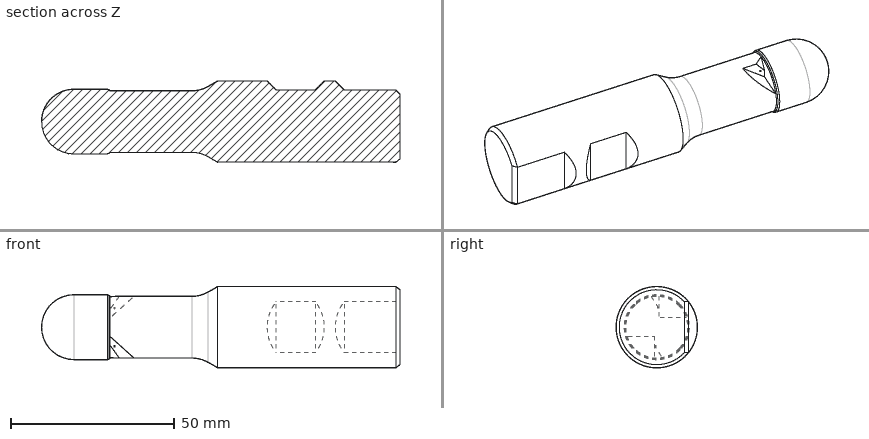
import cadquery as cq
import math

total_length = 110.0

head_radius = 10.0
head_chamfer_start = 20.2
head_chamfer_end = 20.75
head_chamfer_end_radius = 9.8
head_end = 21.1

neck_radius = 9.5
flare_radius = 10.0
flare_angle = math.radians(30)

shank_radius = 12.5
shank_length = 56.0
shank_start = total_length - shank_length
end_chamfer_length = 1.3
end_chamfer_depth = 1.0

flat_height = 9.75
flat_floor_length = 12.0
front_flat_center = total_length - 32.0
rear_flat_start = 92.9
rear_flat_bevel = 1.3

pocket_wall_offset = 0.75
pocket_exit = 28.4
pocket_floor_angle = math.radians(42)
relief_edge_depth = 5.6
relief_edge_exit = 23.9
relief_overrun = 1.75
pin_hole_diameter = 0.4
pin_hole_depth = 0.5
pin_hole_x = 22.4
pin_hole_height = 5.85


def make_body():
    """Revolved head, neck, flare and shank."""
    arc_length = flare_radius * math.sin(flare_angle)
    arc_rise = flare_radius * (1 - math.cos(flare_angle))
    cone_rise = shank_radius - neck_radius - arc_rise
    cone_start = shank_start - cone_rise / math.tan(flare_angle)
    neck_end = cone_start - arc_length
    nose_mid = head_radius * math.sin(math.radians(45))
    half_angle = flare_angle / 2
    arc_mid = (
        neck_end + flare_radius * math.sin(half_angle),
        neck_radius + flare_radius * (1 - math.cos(half_angle)),
    )
    profile = (
        cq.Workplane("XY")
        .moveTo(0, 0)
        .threePointArc((head_radius - nose_mid, nose_mid), (head_radius, head_radius))
        .lineTo(head_chamfer_start, head_radius)
        .lineTo(head_chamfer_end, head_chamfer_end_radius)
        .lineTo(head_end, neck_radius)
        .lineTo(neck_end, neck_radius)
        .threePointArc(arc_mid, (cone_start, neck_radius + arc_rise))
        .lineTo(shank_start, shank_radius)
        .lineTo(total_length - end_chamfer_length, shank_radius)
        .lineTo(total_length, shank_radius - end_chamfer_depth)
        .lineTo(total_length, 0)
        .close()
    )
    return profile.revolve(360, (0, 0, 0), (1, 0, 0))


def prism_along_z(points):
    """Cutter with an XY outline that passes right through the shank."""
    return cq.Workplane("XY").polyline(points).close().extrude(shank_radius, both=True)


def make_front_flat():
    """Trapezoidal notch, open towards +Y."""
    depth = shank_radius - flat_height
    half_floor = flat_floor_length / 2
    half_mouth = half_floor + depth
    return prism_along_z([
        (front_flat_center - half_floor, flat_height),
        (front_flat_center + half_floor, flat_height),
        (front_flat_center + half_mouth, shank_radius),
        (front_flat_center - half_mouth, shank_radius),
    ])


def make_rear_flat():
    """Flat that runs out through the shank end, bevelled at its rear edge."""
    depth = shank_radius - flat_height
    return prism_along_z([
        (rear_flat_start - depth, shank_radius),
        (rear_flat_start, flat_height),
        (total_length - rear_flat_bevel, flat_height),
        (total_length, flat_height - rear_flat_bevel),
        (total_length, shank_radius),
    ])


def make_chip_pocket():
    """Wedge behind the head, with a sloping floor and a skewed relief beyond its wall."""
    slope = math.tan(pocket_floor_angle)
    exit_height = math.sqrt(neck_radius**2 - pocket_wall_offset**2)
    floor_at_head = exit_height - slope * (pocket_exit - head_end)
    top = shank_radius
    wedge = (
        cq.Workplane("XZ", origin=(0, pocket_wall_offset, 0))
        .moveTo(head_end, floor_at_head)
        .lineTo(head_end + (top - floor_at_head) / slope, top)
        .lineTo(head_end, top)
        .close()
        .extrude(-shank_radius)
    )
    edge_slope = (neck_radius - relief_edge_depth) / (relief_edge_exit - head_end)
    relief_length = (top - relief_edge_depth) / edge_slope
    depth_scale = (top - relief_edge_depth) / (neck_radius - relief_edge_depth)
    relief_depth = (pocket_wall_offset + relief_overrun) * depth_scale
    apex = cq.Vector(head_end, pocket_wall_offset, relief_edge_depth)
    corner = cq.Vector(head_end, pocket_wall_offset, top)
    along = cq.Vector(head_end + relief_length, pocket_wall_offset, top)
    across = cq.Vector(head_end, pocket_wall_offset - relief_depth, top)
    faces = [
        cq.Face.makeFromWires(cq.Wire.makePolygon(corners, close=True))
        for corners in (
            [apex, corner, along],
            [apex, corner, across],
            [apex, along, across],
            [corner, along, across],
        )
    ]
    relief = cq.Solid.makeSolid(cq.Shell.makeShell(faces))
    return wedge.union(cq.Workplane(relief))


def make_pin_hole():
    """Tiny blind hole in the pocket wall."""
    return (
        cq.Workplane("XZ", origin=(pin_hole_x, pocket_wall_offset, pin_hole_height))
        .circle(pin_hole_diameter / 2)
        .extrude(pin_hole_depth)
    )


body = make_body().cut(make_front_flat()).cut(make_rear_flat())
pocket = make_chip_pocket().union(make_pin_hole())
for turn in (0, 180):
    body = body.cut(pocket.rotate((0, 0, 0), (1, 0, 0), turn))

result = body